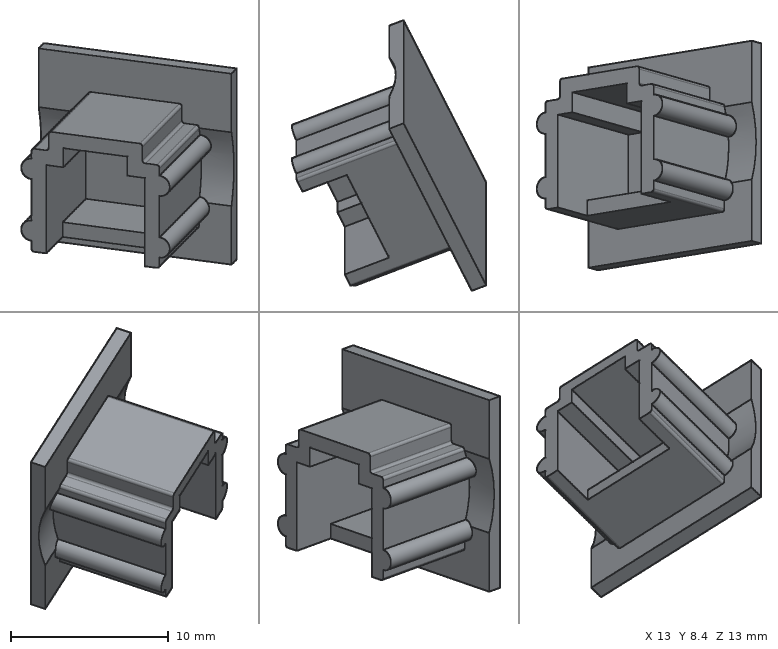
import cadquery as cq

plate_size = 13.0
plate_thickness = 1.0
total_depth = 8.4
sleeve_length = total_depth - plate_thickness

wall = 1.0
sleeve_half_width = 4.32
sleeve_bottom = -4.32
shoulder_height = 2.7
crown_half_width = 3.16
crown_height = 4.0
corner_radius = 0.2
floor_length = 4.33

ridge_radius = 0.69
ridge_heights = (1.3, -2.9)

dip_half_height = 2.51
dip_depth = 0.45


def stepped_prism(half_width, bottom, shoulder, step_half_width, top, length):
    """Stepped outline in XZ, extruded from the plate face toward -Y."""
    return (
        cq.Workplane("XZ")
        .moveTo(-half_width, bottom)
        .lineTo(half_width, bottom)
        .lineTo(half_width, shoulder)
        .lineTo(step_half_width, shoulder)
        .lineTo(step_half_width, top)
        .lineTo(-step_half_width, top)
        .lineTo(-step_half_width, shoulder)
        .lineTo(-half_width, shoulder)
        .close()
        .extrude(length)
    )


def make_plate():
    plate = cq.Workplane("XY").box(
        plate_size, plate_thickness, plate_size, centered=(True, False, True)
    )
    dip = (
        cq.Workplane("YZ")
        .moveTo(0, -dip_half_height)
        .threePointArc((dip_depth, 0), (0, dip_half_height))
        .close()
        .extrude(plate_size / 2, both=True)
    )
    backing = cq.Workplane("XY").box(
        2 * sleeve_half_width, 2 * plate_thickness, plate_size
    )
    return plate.cut(dip.cut(backing))


def make_ridges():
    centers = [(side * sleeve_half_width, z) for side in (-1, 1) for z in ridge_heights]
    return (
        cq.Workplane("XZ", origin=(0, dip_depth, 0))
        .pushPoints(centers)
        .circle(ridge_radius)
        .extrude(sleeve_length + dip_depth)
    )


def make_cavity():
    cavity = stepped_prism(
        sleeve_half_width - wall,
        sleeve_bottom,
        shoulder_height - wall,
        crown_half_width - wall,
        crown_height - wall,
        sleeve_length,
    )
    floor = (
        cq.Workplane("XY", origin=(0, 0, sleeve_bottom))
        .box(2 * sleeve_half_width, 2 * floor_length, wall, centered=(True, True, False))
    )
    return cavity.cut(floor)


sleeve = stepped_prism(
    sleeve_half_width,
    sleeve_bottom,
    shoulder_height,
    crown_half_width,
    crown_height,
    sleeve_length,
)
sleeve = sleeve.edges("|Y").fillet(corner_radius)

result = make_plate().union(sleeve).union(make_ridges()).cut(make_cavity())